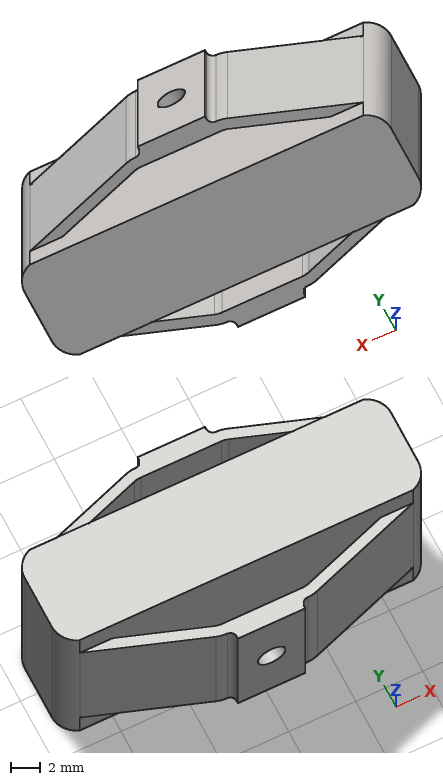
import cadquery as cq
import math

length = 27.32
depth = 15.0
body_height = 14.0

spring_height = 10.0
leaf_thickness = 0.8
leaf_slope = math.radians(19.0)
bend_start = 3.0
bend_inner_radius = 1.55
bend_outer_radius = bend_inner_radius + leaf_thickness

pad_half_length = 2.5
pad_rise = 0.65
groove_radius = bend_start - pad_half_length
hole_diameter = 2.05

corner_radius = 1.83

half_length = length / 2
pad_y = depth / 2
leaf_outer_y = pad_y - pad_rise
leaf_inner_y = leaf_outer_y - leaf_thickness
bend_center_y = leaf_outer_y - bend_outer_radius
slope_ratio = math.tan(leaf_slope)


def bend_point(radius, angle):
    """Point on the leaf bend, with the angle measured from the Y axis."""
    x = bend_start + radius * math.sin(angle)
    y = bend_center_y + radius * math.cos(angle)
    return x, y


outer_bend_end = bend_point(bend_outer_radius, leaf_slope)
inner_bend_end = bend_point(bend_inner_radius, leaf_slope)

corner_center_x = half_length - corner_radius
body_edge_x = corner_center_x + corner_radius * math.sin(leaf_slope)
body_half_depth = outer_bend_end[1] - (body_edge_x - outer_bend_end[0]) * slope_ratio
corner_center_y = body_half_depth - corner_radius * math.cos(leaf_slope)
inner_root_x = inner_bend_end[0] + (inner_bend_end[1] - body_half_depth) / slope_ratio


def mirrored(point):
    return -point[0], point[1]


def make_body():
    corner_mid_angle = (math.pi / 2 + leaf_slope) / 2
    corner_mid = (
        corner_center_x + corner_radius * math.sin(corner_mid_angle),
        corner_center_y + corner_radius * math.cos(corner_mid_angle),
    )
    quarter = (
        cq.Workplane("XY")
        .lineTo(half_length, 0)
        .lineTo(half_length, corner_center_y)
        .threePointArc(corner_mid, (body_edge_x, body_half_depth))
        .lineTo(0, body_half_depth)
        .close()
        .extrude(body_height / 2, both=True)
    )
    half = quarter.union(quarter.mirror("YZ"))
    return half.union(half.mirror("XZ")).clean()


def make_spring():
    """Leaf on the +Y side, with its pad and a hole through to the gap."""
    outer_bend_mid = bend_point(bend_outer_radius, leaf_slope / 2)
    inner_bend_mid = bend_point(bend_inner_radius, leaf_slope / 2)
    groove_offset = groove_radius * math.sqrt(0.5)
    groove_center_y = leaf_outer_y + groove_radius
    groove_mid = (bend_start - groove_offset, groove_center_y - groove_offset)
    groove_top = (pad_half_length, groove_center_y)
    groove_foot = (bend_start, leaf_outer_y)

    leaf = (
        cq.Workplane("XY")
        .moveTo(-pad_half_length, pad_y)
        .lineTo(pad_half_length, pad_y)
        .lineTo(*groove_top)
        .threePointArc(groove_mid, groove_foot)
        .threePointArc(outer_bend_mid, outer_bend_end)
        .lineTo(body_edge_x, body_half_depth)
        .lineTo(inner_root_x, body_half_depth)
        .lineTo(*inner_bend_end)
        .threePointArc(inner_bend_mid, (bend_start, leaf_inner_y))
        .lineTo(-bend_start, leaf_inner_y)
        .threePointArc(mirrored(inner_bend_mid), mirrored(inner_bend_end))
        .lineTo(-inner_root_x, body_half_depth)
        .lineTo(-body_edge_x, body_half_depth)
        .lineTo(*mirrored(outer_bend_end))
        .threePointArc(mirrored(outer_bend_mid), mirrored(groove_foot))
        .threePointArc(mirrored(groove_mid), mirrored(groove_top))
        .close()
        .extrude(spring_height / 2, both=True)
    )
    hole = (
        cq.Workplane("XZ", origin=(0, pad_y, 0))
        .circle(hole_diameter / 2)
        .extrude(pad_y - body_half_depth)
    )
    return leaf.cut(hole)


spring = make_spring()
result = make_body().union(spring).union(spring.mirror("XZ"))